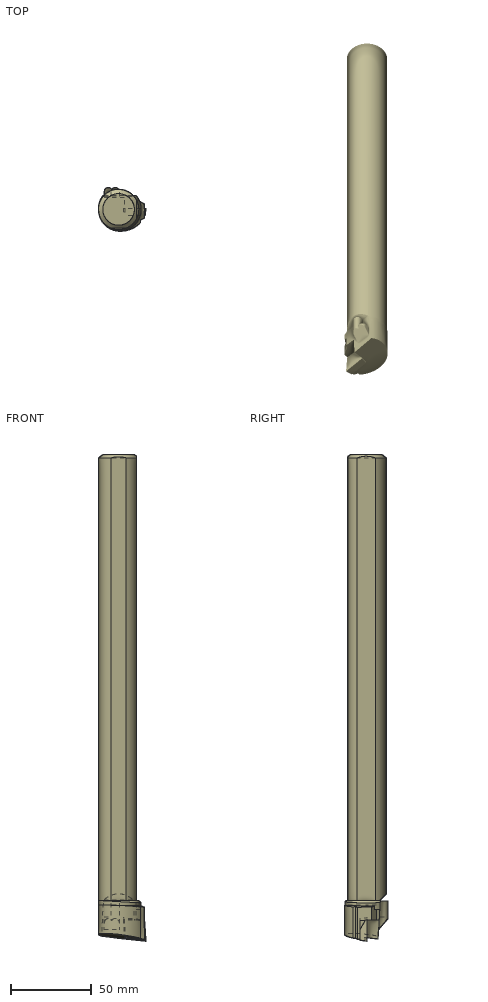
import cadquery as cq
import math

length = 301.2
shank_radius = 12.5
front_flat = 11.6
side_flat = 11.0
end_chamfer_width = 2.7
end_chamfer_height = 2.0

collar_top = 25.3
collar_bottom = 19.5
collar_radius = 13.3
collar_drop = 1.0
head_top = 22.5
head_radius = 13.5
head_drop = 0.4

head_center_x = head_radius - shank_radius
blend_x = -8.0
front_mid_x = -4.0
front_mid_y = -12.7
shoulder_mid_x = 8.0
shoulder_mid_y = -12.0
shoulder_x = 13.5
shoulder_y = -8.0
nose_x = 16.0
step_y = -6.5
nose_front_y = -5.5
nose_back_y = 3.3
back_x = 10.8
back_y = 6.3
back_mid_x = 0.5
back_mid_y = 13.0

end_face_height = 2.7
end_slope_x = 0.13
end_slope_y = 0.12

gullet_top_y = 8.7
gullet_bottom_y = 7.2
gullet_top = 25.5

nozzle_diameter = 5.0
nozzle_x = -6.3
nozzle_y = head_radius - nozzle_diameter / 2
nozzle_inner_y = 6.0
nozzle_top = 15.0
nozzle_bottom = 6.0
nozzle_taper_top = 14.2
nozzle_taper_run = 7.0
boss_x = -2.0
boss_top = 25.0

tip_x = 17.02
insert_side = 13.3
insert_corner_angle = 80.0
insert_lean = 4.0
insert_thickness = 4.5
rake_y = 0.5
relief_angle = 7.0

cut_size = 4 * head_radius


def along_edge(start, angle):
    """Point one insert side away from start, angle measured from +X towards +Z."""
    turn = math.radians(angle)
    return (start[0] + insert_side * math.cos(turn), start[1] + insert_side * math.sin(turn))


def make_insert():
    outer_edge_angle = 90 + insert_lean
    bottom_edge_angle = outer_edge_angle + insert_corner_angle
    tip = (tip_x, 0)
    upper_corner = along_edge(tip, outer_edge_angle)
    lower_corner = along_edge(tip, bottom_edge_angle)
    far_corner = along_edge(upper_corner, bottom_edge_angle)
    return (
        cq.Workplane("XZ", origin=(0, rake_y, 0))
        .polyline([tip, upper_corner, far_corner, lower_corner])
        .close()
        .extrude(insert_thickness, taper=relief_angle)
    )


def make_shank():
    height = length - head_top
    shank = cq.Workplane("XY").workplane(offset=head_top).circle(shank_radius).extrude(height)
    return shank.faces(">Z").chamfer(end_chamfer_height, end_chamfer_width)


def make_flat_cutters():
    height = length - collar_top
    side = (
        cq.Workplane("XY", origin=(side_flat, 0, collar_top))
        .box(cut_size, cut_size, height, centered=(False, True, False))
    )
    front = (
        cq.Workplane("XY", origin=(0, -front_flat - cut_size, collar_top))
        .box(cut_size, cut_size, height, centered=(True, False, False))
    )
    return side.union(front)


def make_cone_cap(top, drop):
    """Solid below a cone that falls outwards from the shank surface at the given height."""
    reach = 2 * head_radius
    rim_height = top - drop * (reach - shank_radius)
    return (
        cq.Workplane("XZ")
        .polyline([(0, 0), (reach, 0), (reach, rim_height), (shank_radius, top), (0, top)])
        .close()
        .revolve(360, (0, 0, 0), (0, 1, 0))
    )


def make_collar():
    center_x = collar_radius - shank_radius
    column = (
        cq.Workplane("XY", origin=(center_x, 0, collar_bottom))
        .circle(collar_radius)
        .extrude(collar_top - collar_bottom)
    )
    return column.intersect(make_cone_cap(collar_top, collar_drop))


def make_head():
    left = (-shank_radius, 0)
    side_angle = math.acos((blend_x - head_center_x) / head_radius)
    blend = (blend_x, -head_radius * math.sin(side_angle))
    side_mid_angle = (math.pi + side_angle) / 2
    side_mid = (
        head_center_x + head_radius * math.cos(side_mid_angle),
        -head_radius * math.sin(side_mid_angle),
    )
    column = (
        cq.Workplane("XY")
        .moveTo(*left)
        .threePointArc(side_mid, blend)
        .threePointArc((front_mid_x, front_mid_y), (head_center_x, -head_radius))
        .threePointArc((shoulder_mid_x, shoulder_mid_y), (shoulder_x, shoulder_y))
        .lineTo(shoulder_x, step_y)
        .lineTo(nose_x, nose_front_y)
        .lineTo(nose_x, nose_back_y)
        .lineTo(back_x, back_y)
        .threePointArc((back_mid_x, back_mid_y), left)
        .close()
        .extrude(head_top)
    )
    return column.intersect(make_cone_cap(head_top, head_drop))


def make_end_cutter():
    normal = cq.Vector(-end_slope_x, -end_slope_y, -1)
    plane = cq.Plane(origin=(0, 0, end_face_height), xDir=(1, 0, -end_slope_x), normal=normal)
    return cq.Workplane(plane).rect(cut_size, cut_size).extrude(cut_size)


def make_gullet():
    run_out = cut_size - gullet_top_y
    return (
        cq.Workplane("YZ", origin=(-cut_size / 2, 0, 0))
        .polyline([
            (gullet_bottom_y, 0),
            (gullet_top_y, gullet_top),
            (cut_size, gullet_top + run_out),
            (cut_size, 0),
        ])
        .close()
        .extrude(cut_size)
    )


def make_rounded_rib(x, bottom, top):
    """Upright rib with a rounded outer end, running in towards the bar."""
    height = top - bottom
    web_depth = nozzle_y - nozzle_inner_y
    rounded_end = (
        cq.Workplane("XY", origin=(x, nozzle_y, bottom))
        .circle(nozzle_diameter / 2)
        .extrude(height)
    )
    web = (
        cq.Workplane("XY", origin=(x, nozzle_inner_y, bottom))
        .box(nozzle_diameter, web_depth, height, centered=(True, False, False))
    )
    return rounded_end.union(web)


def make_nozzle():
    boss = make_rounded_rib(boss_x, nozzle_bottom, boss_top)
    nozzle = make_rounded_rib(nozzle_x, nozzle_bottom, nozzle_top)
    taper = (
        cq.Workplane("YZ", origin=(-cut_size / 2, 0, 0))
        .polyline([
            (head_radius, nozzle_taper_top),
            (head_radius, nozzle_bottom),
            (head_radius - nozzle_taper_run, nozzle_bottom),
        ])
        .close()
        .extrude(cut_size)
    )
    return boss.union(nozzle).cut(taper)


def make_rake_clearance():
    """Open space in front of the rake face, so that chips leave the insert."""
    left = tip_x - insert_side
    return (
        cq.Workplane("XY", origin=(left, rake_y, 0))
        .box(cut_size, cut_size, insert_side, centered=(False, False, False))
    )


insert = make_insert()
bar = (
    make_shank()
    .cut(make_flat_cutters())
    .union(make_collar())
    .union(make_head())
    .cut(make_end_cutter())
    .cut(make_gullet())
    .union(make_nozzle())
    .cut(make_rake_clearance())
    .cut(insert)
)

result = cq.Compound.makeCompound([bar.val(), insert.val()])